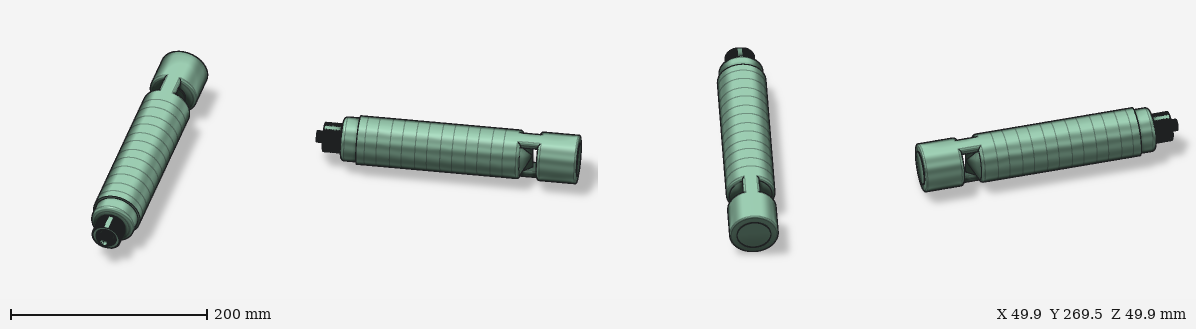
import cadquery as cq
import math

LENGTH = 269.5
RADIUS = 24.95
EDGE_ROUND = 3.2

CROWN_RADIUS = 17.3
CROWN_HEIGHT = 0.8
HEAD_EDGE_ROUND = 1.5
HEAD_END = 41.5
HUB_RADIUS = 14.0
HUB_TOP_RADIUS = 12.7
HUB_HEIGHT = 0.5
HUB_BORE_RADIUS = 5.7
HUB_BORE_DEPTH = 13.5

BARREL_START = 59.3
STRUT_HALF_WIDTH = 8.5
STRUT_INNER_Z = 16.2
STRUT_INNER_ROUND = 2.5
CONE_TIP = 47.7

FIRST_JOINT = 76.3
RING_PAIR = 26.0
NARROW_RING = 12.0
RING_PAIR_COUNT = 6
BARREL_END = 226.5

COLLAR_RADIUS = 22.6
COLLAR_END = 243.2
COLLAR_ROUND = 4.0

NECK_RADIUS = 14.3
NECK_END = 244.5
STUB_RADIUS = 15.0
STUB_END = 262.3
STUB_PITCH = 1.48
STUB_THREAD_DEPTH = 1.0
STUB_FLAT_Z = 13.8
MOUTH_RADIUS = 10.8
MOUTH_STEP_WIDTH = 0.95
MOUTH_STEP_DEPTH = 1.3
MOUTH_STEP_COUNT = 4

TUBE_RADIUS = 6.0
TUBE_PITCH = 0.97
TUBE_THREAD_DEPTH = 0.5
TUBE_BORE_RADIUS = 4.0
TUBE_BORE_DEPTH = 6.7


def along(station):
    """Y coordinate of a station measured from the head end; the part is centred on the origin."""
    return LENGTH / 2 - station


def turned(outline):
    """Solid of revolution about Y from a list of (radius, station) corners."""
    corners = [(radius, along(station)) for radius, station in outline]
    profile = cq.Workplane("XY").polyline(corners).close()
    return profile.revolve(360, (0, 0, 0), (0, 1, 0), clean=False)


def rod(radius, start, end):
    """Plain cylinder between two stations."""
    return turned([(0, start), (radius, start), (radius, end), (0, end)])


def thread_crests(radius, depth, pitch, start, end):
    """Zigzag outline of a threaded stretch, fitted to a whole number of ridges."""
    count = round((end - start) / pitch)
    step = (end - start) / count
    corners = [(radius - depth, start)]
    for i in range(count):
        corners.append((radius, start + (i + 0.5) * step))
        corners.append((radius - depth, start + (i + 1) * step))
    return corners


def block(half_x, start, end, half_z):
    """Box centred on the axis between two stations."""
    middle = along((start + end) / 2)
    return cq.Workplane("XY").box(2 * half_x, end - start, 2 * half_z).translate((0, middle, 0))


def windowed_column():
    """Head and first barrel ring, with the window cut out so that two rounded struts remain."""
    column = rod(RADIUS, CROWN_HEIGHT, FIRST_JOINT).faces(">Y").edges().fillet(HEAD_EDGE_ROUND)
    for side in (-1, 1):
        opening = block(RADIUS, HEAD_END, BARREL_START, RADIUS)
        column = column.cut(opening.translate((side * (STRUT_HALF_WIDTH + RADIUS), 0, 0)))

    window_edges = column.edges(
        cq.selectors.BoxSelector(
            (-RADIUS, along(BARREL_START) - EDGE_ROUND, -RADIUS),
            (RADIUS, along(HEAD_END) + EDGE_ROUND, RADIUS),
        )
    )
    column = window_edges.edges("%CIRCLE or |Y").fillet(EDGE_ROUND)

    column = column.cut(block(STRUT_HALF_WIDTH, HEAD_END, BARREL_START, STRUT_INNER_Z))
    inner_edges = column.edges(
        cq.selectors.BoxSelector(
            (-RADIUS, along(BARREL_START), -STRUT_INNER_Z - STRUT_INNER_ROUND / 2),
            (RADIUS, along(HEAD_END), STRUT_INNER_Z + STRUT_INNER_ROUND / 2),
        )
    )
    return inner_edges.edges("|Y").fillet(STRUT_INNER_ROUND)


def window_fittings(column):
    """Pad and bore under the head, and the cone and roof-shaped ridge between the struts."""
    hub_face = HEAD_END + HUB_HEIGHT
    hub = turned([(0, HEAD_END), (HUB_RADIUS, HEAD_END), (HUB_TOP_RADIUS, hub_face), (0, hub_face)])
    bore = rod(HUB_BORE_RADIUS, HEAD_END - HUB_BORE_DEPTH, hub_face)
    cone = turned([(0, CONE_TIP), (RADIUS - EDGE_ROUND, BARREL_START), (0, BARREL_START)])
    roof_corners = [
        (0, along(CONE_TIP)),
        (STRUT_HALF_WIDTH, along(BARREL_START)),
        (-STRUT_HALF_WIDTH, along(BARREL_START)),
    ]
    roof_half_height = STRUT_INNER_Z + STRUT_INNER_ROUND
    roof = cq.Workplane("XY").polyline(roof_corners).close().extrude(roof_half_height, both=True)
    return column.union(hub).cut(bore).union(cone).union(roof)


def barrel_and_tail():
    """Barrel rings, collar and neck, the threaded stub with its flats, and the threaded tube."""
    outline = [(0, FIRST_JOINT), (RADIUS, FIRST_JOINT)]
    for i in range(RING_PAIR_COUNT):
        narrow_start = FIRST_JOINT + i * RING_PAIR
        outline.append((RADIUS, narrow_start + NARROW_RING))
        if i < RING_PAIR_COUNT - 1:
            outline.append((RADIUS, narrow_start + RING_PAIR))
    outline += [(RADIUS, BARREL_END), (0, BARREL_END)]
    barrel = turned(outline)

    collar = rod(COLLAR_RADIUS, BARREL_END, COLLAR_END).faces("<Y").edges().fillet(COLLAR_ROUND)
    neck = rod(NECK_RADIUS, COLLAR_END, NECK_END)

    crests = thread_crests(STUB_RADIUS, STUB_THREAD_DEPTH, STUB_PITCH, NECK_END, STUB_END)
    mouth = []
    for i in range(MOUTH_STEP_COUNT):
        step_radius = MOUTH_RADIUS - i * MOUTH_STEP_WIDTH
        mouth.append((step_radius, STUB_END - i * MOUTH_STEP_DEPTH))
        mouth.append((step_radius, STUB_END - (i + 1) * MOUTH_STEP_DEPTH))
    mouth_floor = STUB_END - MOUTH_STEP_COUNT * MOUTH_STEP_DEPTH
    mouth.append((0, mouth_floor))
    stub = turned([(0, NECK_END)] + crests + mouth)
    stub = stub.intersect(block(RADIUS, NECK_END, STUB_END, STUB_FLAT_Z))

    crests = thread_crests(TUBE_RADIUS, TUBE_THREAD_DEPTH, TUBE_PITCH, mouth_floor, LENGTH)
    bore_floor = LENGTH - TUBE_BORE_DEPTH
    bore = [(TUBE_BORE_RADIUS, LENGTH), (TUBE_BORE_RADIUS, bore_floor), (0, bore_floor)]
    tube = turned([(0, mouth_floor)] + crests + bore)

    return collar.union(neck).union(stub).union(tube).union(barrel, clean=False)


crown = rod(CROWN_RADIUS, 0, CROWN_HEIGHT)
head = window_fittings(windowed_column()).union(crown)
result = head.union(barrel_and_tail(), clean=False)